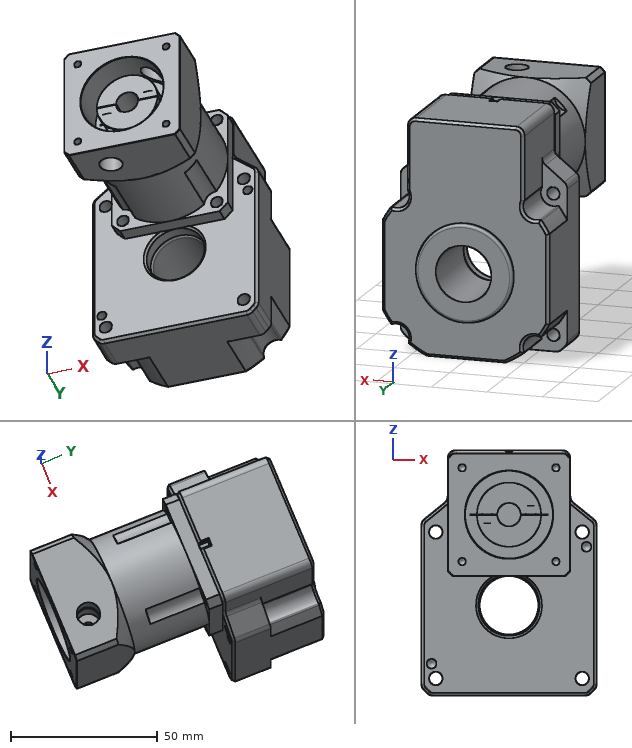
import cadquery as cq
import math


overall_width = 60.0
overall_height = 84.0
overall_length = 90.0
bottom_drop = 31.0
axis_spacing = 31.0
ring_protrusion = 2.0
housing_depth = 34.0
plate_depth = 14.0
corner_fillet = 3.0
bottom_corner_chamfer = 3.0
shoulder_low = 28.5
shoulder_high = 35.8
edge_chamfer = 1.0
rear_radius = 34.0

bolt_offset = 25.0
bolt_diameter = 4.5
scallop_diameter = 9.0
scallop_edge_fillet = 0.5
dowel_x = 26.5
dowel_z = 20.0
dowel_diameter = 3.3
dowel_depth = 6.0
lip_bore_diameter = 21.0
lip_chamfer = 0.8
slot_width = 2.0
slot_length = 3.5
slot_depth = 3.0
slot_edge_chamfer = 0.495

ring_diameter = 35.0
ring_bore_diameter = 20.0
ring_fillet = 1.0
ring_start = 5.0

reducer_size = 42.0
flange_thickness = 5.0
flange_corner_chamfer = 3.0
screw_offset = 17.0
screw_hole_diameter = 4.2
screw_groove_diameter = 9.0
screw_groove_end = 25.0
barrel_end = 32.5
block_corner_diameter = 57.0
block_cone_length = 6.0
block_edge_chamfer = 0.2
motor_hole_offset = 16.0
motor_hole_diameter = 2.5
motor_hole_depth = 6.0
motor_bore_diameter = 30.0
motor_bore_depth = 20.0
access_hole_diameter = 8.0

hub_nose_diameter = 22.0
hub_face_depth = 5.2
hub_nose_length = 10.0
hub_bore_diameter = 8.0
slit_width = 0.4
slit_length = 26.5
slit_depth = 12.0
clamp_offset = 7.5
clamp_head_diameter = 9.0
clamp_skin = 0.2
clamp_seat_height = 3.0
clamp_hole_diameter = 3.3

drill_point_angle = 118.0
tolerance = 0.01

half_width = overall_width / 2
reducer_half = reducer_size / 2
housing_top = overall_height - bottom_drop
motor_face = overall_length - housing_depth - ring_protrusion
hub_face = motor_face - hub_face_depth
motor_bore_floor = motor_face - motor_bore_depth
clamp_y = clamp_head_diameter / 2 - hub_face + clamp_skin


def rod(diameter, y_from, y_to, x=0.0, z=0.0):
    """Cylinder along Y between two Y positions."""
    return (
        cq.Workplane("XZ", origin=(x, y_from, z))
        .circle(diameter / 2)
        .extrude(y_from - y_to)
    )


def blind_hole(diameter, depth, x, y, z):
    """Cutter for a drilled hole that runs from y toward +Y and ends in a drill point."""
    radius = diameter / 2
    point_length = radius / math.tan(math.radians(drill_point_angle / 2))
    profile = [(0, 0), (radius, 0), (radius, depth), (0, depth + point_length)]
    drill = cq.Workplane("XY").polyline(profile).close().revolve(360, (0, 0, 0), (0, 1, 0))
    return drill.translate((x, y, z))


def bore_mouth(diameter, chamfer, y, z=0.0):
    """Cutter that chamfers the front edge of a bore along Y."""
    radius = diameter / 2
    cone = cq.Solid.makeCone(
        radius + chamfer, radius, chamfer, cq.Vector(0, y, z), cq.Vector(0, 1, 0)
    )
    return cq.Workplane(cone)


def square_corners(offset):
    return [(sx * offset, sz * offset) for sx in (-1, 1) for sz in (-1, 1)]


def half_turn(shape):
    """Copy turned half way round the reducer axis."""
    return shape.rotate((0, 0, axis_spacing), (0, 1, axis_spacing), 180)


def front_plate():
    right_side = [
        (half_width - bottom_corner_chamfer, -bottom_drop),
        (half_width, bottom_corner_chamfer - bottom_drop),
        (half_width, shoulder_low),
        (reducer_half, shoulder_high),
        (reducer_half, housing_top),
    ]
    left_side = [(-x, z) for x, z in reversed(right_side)]
    plate = cq.Workplane("XZ").polyline(right_side + left_side).close().extrude(-plate_depth)
    return plate.edges("|Y").fillet(corner_fillet)


def rear_block():
    """Round rear part with flat sides, scalloped around the bolt axes, and its upper block."""
    base = rod(2 * rear_radius, plate_depth, housing_depth)
    flats = cq.Workplane("XZ").rect(overall_width, 2 * bottom_drop).extrude(-housing_depth)
    base = base.intersect(flats)
    for x, z in square_corners(bolt_offset):
        base = base.cut(rod(scallop_diameter, plate_depth, housing_depth, x, z))

    upper = (
        cq.Workplane("XZ", origin=(0, plate_depth, housing_top / 2))
        .rect(reducer_size, housing_top)
        .extrude(plate_depth - housing_depth)
    )
    upper = upper.edges("|Y").edges(">Z").fillet(corner_fillet)
    for side in (-1, 1):
        scallop = rod(scallop_diameter, plate_depth, housing_depth, side * bolt_offset, bolt_offset)
        upper = upper.cut(scallop)
    return base.union(upper)


def top_slot():
    """Cutter for the slot in the top, with flared edges and open toward the front."""
    overrun = 2 * slot_edge_chamfer
    slot = (
        cq.Workplane("XY", origin=(0, (slot_length - overrun) / 2, housing_top))
        .rect(slot_width, slot_length + overrun)
        .extrude(-slot_depth)
    )
    flare = (
        cq.Workplane("XY", origin=(0, (slot_length - overrun) / 2, housing_top))
        .rect(slot_width + 2 * slot_edge_chamfer, slot_length + overrun + 2 * slot_edge_chamfer)
        .extrude(-slot_edge_chamfer, taper=45)
    )
    return slot.union(flare)


def is_scallop_tip(edge):
    """True for an edge along Y where a scallop meets the round outline of the rear part."""
    point = edge.Center()
    from_output_axis = math.hypot(point.x, point.z)
    from_bolt_axis = math.hypot(abs(point.x) - bolt_offset, abs(point.z) - bolt_offset)
    return (
        abs(from_output_axis - rear_radius) < tolerance
        and abs(from_bolt_axis - scallop_diameter / 2) < tolerance
    )


def make_housing():
    body = front_plate().union(rear_block())
    body = body.faces("<Y or >Y").edges().chamfer(edge_chamfer)
    tips = [edge for edge in body.edges("|Y").vals() if is_scallop_tip(edge)]
    body = body.newObject(tips).fillet(scallop_edge_fillet)
    for x, z in square_corners(bolt_offset):
        body = body.cut(rod(bolt_diameter, 0, housing_depth, x, z))
    for side in (-1, 1):
        body = body.cut(blind_hole(dowel_diameter, dowel_depth, side * dowel_x, 0, side * dowel_z))
    body = body.cut(rod(lip_bore_diameter, 0, ring_start))
    body = body.cut(rod(ring_diameter, ring_start, housing_depth))
    body = body.cut(bore_mouth(lip_bore_diameter, lip_chamfer, 0))
    return body.cut(top_slot())


def make_output_ring():
    """Sleeve with rounded edges at the outer rim and at the inner mouth of its bore."""
    ring_end = housing_depth + ring_protrusion
    outer = ring_diameter / 2
    inner = ring_bore_diameter / 2
    round_start = ring_fillet * (1 - math.sqrt(0.5))
    return (
        cq.Workplane("XY")
        .moveTo(inner + ring_fillet, ring_start)
        .lineTo(outer, ring_start)
        .lineTo(outer, ring_end - ring_fillet)
        .threePointArc((outer - round_start, ring_end - round_start), (outer - ring_fillet, ring_end))
        .lineTo(inner, ring_end)
        .lineTo(inner, ring_start + ring_fillet)
        .threePointArc((inner + round_start, ring_start + round_start), (inner + ring_fillet, ring_start))
        .close()
        .revolve(360, (0, 0, 0), (0, 1, 0))
    )


def reducer_flange():
    flange = (
        cq.Workplane("XZ", origin=(0, 0, axis_spacing))
        .rect(reducer_size, reducer_size)
        .extrude(flange_thickness)
    )
    return flange.edges("|Y").chamfer(flange_corner_chamfer)


def motor_block():
    """Square block whose corners are turned round and run down to the barrel as a cone."""
    corner_radius = block_corner_diameter / 2
    profile = [
        (0, -barrel_end),
        (reducer_half, -barrel_end),
        (corner_radius, -barrel_end - block_cone_length),
        (corner_radius, -motor_face),
        (0, -motor_face),
    ]
    turned = cq.Workplane("XY").polyline(profile).close().revolve(360, (0, 0, 0), (0, 1, 0))
    square = cq.Workplane("XZ").rect(reducer_size, reducer_size).extrude(motor_face)
    block = turned.intersect(square)
    return block.faces("<Y").edges().chamfer(block_edge_chamfer).translate((0, 0, axis_spacing))


def make_reducer():
    barrel = rod(reducer_size, -barrel_end, -flange_thickness, 0, axis_spacing)
    for x, z in square_corners(screw_offset):
        groove = rod(screw_groove_diameter, -screw_groove_end, -flange_thickness, x, axis_spacing + z)
        barrel = barrel.cut(groove)
    body = reducer_flange().union(barrel).union(motor_block())
    for x, z in square_corners(screw_offset):
        body = body.cut(rod(screw_hole_diameter, -flange_thickness, 0, x, axis_spacing + z))
    for x, z in square_corners(motor_hole_offset):
        body = body.cut(blind_hole(motor_hole_diameter, motor_hole_depth, x, -motor_face, axis_spacing + z))
    bore = rod(motor_bore_diameter, -motor_face, -motor_bore_floor, 0, axis_spacing)
    mouth = bore_mouth(motor_bore_diameter, block_edge_chamfer, -motor_face, axis_spacing)
    access_hole = (
        cq.Workplane("XY", origin=(clamp_offset, clamp_y, axis_spacing))
        .circle(access_hole_diameter / 2)
        .extrude(reducer_half)
    )
    return body.cut(bore).cut(mouth).cut(access_hole).cut(half_turn(access_hole))


def make_clamp_hub():
    nose_end = hub_face - hub_nose_length
    hub = rod(hub_nose_diameter, -hub_face, -nose_end, 0, axis_spacing)
    hub = hub.union(rod(motor_bore_diameter, -nose_end, -motor_bore_floor, 0, axis_spacing))
    hub = hub.cut(rod(hub_bore_diameter, -hub_face, -motor_bore_floor, 0, axis_spacing))
    slit = cq.Workplane("XY").box(slit_length, slit_depth, slit_width, centered=(True, False, True))
    hub = hub.cut(slit.translate((0, -hub_face, axis_spacing)))
    head_pocket = (
        cq.Workplane("XY", origin=(clamp_offset, clamp_y, axis_spacing + clamp_seat_height))
        .circle(clamp_head_diameter / 2)
        .extrude(hub_nose_diameter / 2)
    )
    screw_hole = (
        cq.Workplane("XY", origin=(clamp_offset, clamp_y, axis_spacing + clamp_seat_height))
        .circle(clamp_hole_diameter / 2)
        .extrude(-hub_nose_diameter)
    )
    clamp_screw = head_pocket.union(screw_hole)
    return hub.cut(clamp_screw).cut(half_turn(clamp_screw))


housing = make_housing()
output_ring = make_output_ring()
reducer = make_reducer()
clamp_hub = make_clamp_hub()

result = cq.Compound.makeCompound([housing.val(), output_ring.val(), reducer.val(), clamp_hub.val()])